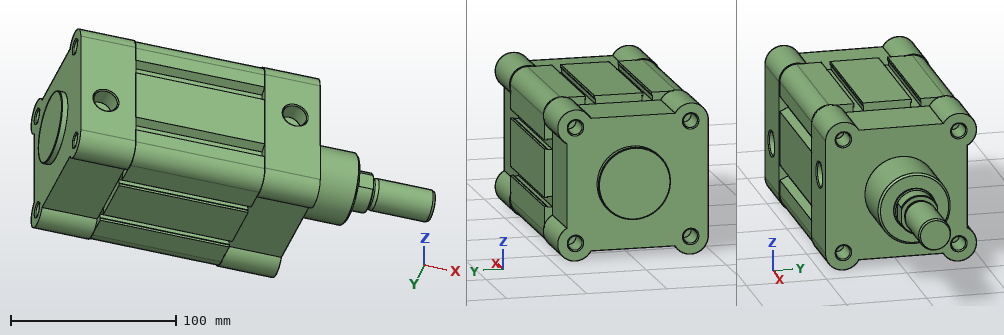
import cadquery as cq


total_length = 243.0
boss_length = 4.0
cap_length = 35.2
barrel_length = 82.4
nose_length = 34.0

rear_cap_start = boss_length
barrel_start = rear_cap_start + cap_length
front_cap_start = barrel_start + barrel_length
front_cap_end = front_cap_start + cap_length
nose_end = front_cap_end + nose_length

cap_width = 94.0
port_face = cap_width / 2
bolt_offset = 36.0
lobe_radius = port_face - bolt_offset
cap_recess_face = 41.3
pilot_diameter = 45.0
pilot_radius = pilot_diameter / 2
boss_chamfer = 0.5
nose_chamfer = 1.2
bolt_hole_diameter = 8.7
bolt_hole_depth = 16.0
bolt_hole_chamfer = 0.7
port_diameter = 15.0
port_depth = 12.2
port_chamfer = 0.7
port_inset = 16.0
port_height = 9.5

barrel_half_width = 46.5
barrel_corner_radius = barrel_half_width - bolt_offset
slot_depth = barrel_half_width - cap_recess_face
slot_mouth_inner = 15.0
slot_mouth_outer = 20.7
slot_undercut = 0.5
slot_lip_thickness = 2.0
groove_center = 21.9
groove_mouth_width = 9.7
groove_floor_width = 4.9
groove_depth = slot_depth

wiper_radius = 13.1
wiper_length = 2.0
wiper_chamfer = 0.7
rod_radius = 12.5
rod_chamfer = 0.5
flat_half_width = 11.2
flat_gap = 2.7
flat_start = nose_end + flat_gap
rod_shoulder = 203.0
neck_radius = 9.2
neck_length = 1.7
neck_end = rod_shoulder + neck_length
thread_radius = 10.0
thread_runout = 2.2
thread_start = neck_end + thread_runout
thread_chamfer_length = 1.7
thread_tip_radius = 9.2


def box_between(x_range, y_range, z_range):
    """Box spanning the given (low, high) ranges."""
    (x0, x1), (y0, y1), (z0, z1) = x_range, y_range, z_range
    return cq.Workplane("XY").box(x1 - x0, y1 - y0, z1 - z0, centered=False).translate((x0, y0, z0))


def rod_along_x(start, length, radius, y=0, z=0):
    """Cylinder parallel to X that starts at X = start."""
    return cq.Workplane("YZ", origin=(start, 0, 0)).center(y, z).circle(radius).extrude(length)


def drill(body, mouth, direction, diameter, depth, chamfer):
    """Cut a flat-bottomed hole with a chamfered mouth."""
    point = cq.Vector(*mouth)
    axis = cq.Vector(*direction)
    radius = diameter / 2
    hole = cq.Solid.makeCylinder(radius, depth, point, axis)
    countersink = cq.Solid.makeCone(radius + chamfer, radius, chamfer, point, axis)
    return body.cut(hole).cut(countersink)


def cap_block(start):
    """Cap without holes: four corner lobes, recessed on every side but the port side."""
    x_range = (start, start + cap_length)
    core = (-cap_recess_face, cap_recess_face)
    block = box_between(x_range, (-bolt_offset, cap_recess_face), core)
    block = block.union(box_between(x_range, (-port_face, 0), (-bolt_offset, bolt_offset)))
    for y in (-bolt_offset, bolt_offset):
        for z in (-bolt_offset, bolt_offset):
            block = block.union(rod_along_x(start, cap_length, lobe_radius, y, z))
    return block


def add_cap_holes(cap, end_face, inward, port_z):
    """Bolt holes in the outer end face and one port in the -Y side."""
    for y in (-bolt_offset, bolt_offset):
        for z in (-bolt_offset, bolt_offset):
            cap = drill(cap, (end_face, y, z), (inward, 0, 0),
                        bolt_hole_diameter, bolt_hole_depth, bolt_hole_chamfer)
    port_mouth = (end_face + inward * port_inset, -port_face, port_z)
    return drill(cap, port_mouth, (0, 1, 0), port_diameter, port_depth, port_chamfer)


def make_rear_cap():
    boss = rod_along_x(0, boss_length, pilot_radius).faces("<X").chamfer(boss_chamfer)
    cap = cap_block(rear_cap_start).union(boss)
    return add_cap_holes(cap, rear_cap_start, 1, -port_height)


def make_front_cap():
    nose = rod_along_x(front_cap_end, nose_length, pilot_radius).faces(">X").chamfer(nose_chamfer)
    cap = cap_block(front_cap_start).union(nose)
    return add_cap_holes(cap, front_cap_end, -1, port_height)


def undercut_slot(side):
    """Slot along the +Z side of the barrel, narrowed by lips at its mouth; side is -1 or 1."""
    top = barrel_half_width
    floor = top - slot_depth
    lip_bottom = top - slot_lip_thickness
    inner_wall = slot_mouth_inner - slot_undercut
    outer_wall = slot_mouth_outer + slot_undercut
    points = [(slot_mouth_inner, top), (slot_mouth_inner, lip_bottom), (inner_wall, lip_bottom),
              (inner_wall, floor), (outer_wall, floor), (outer_wall, lip_bottom),
              (slot_mouth_outer, lip_bottom), (slot_mouth_outer, top)]
    signed = [(side * y, z) for y, z in points]
    return cq.Workplane("YZ", origin=(barrel_start, 0, 0)).polyline(signed).close().extrude(barrel_length)


def tapered_groove(side):
    """Groove with sloping walls along the -Y side of the barrel; side is -1 or 1."""
    mouth, floor = groove_mouth_width / 2, groove_floor_width / 2
    outer_y = -barrel_half_width
    floor_y = outer_y + groove_depth
    center = side * groove_center
    points = [(outer_y, center - mouth), (outer_y, center + mouth),
              (floor_y, center + floor), (floor_y, center - floor)]
    return cq.Workplane("YZ", origin=(barrel_start, 0, 0)).polyline(points).close().extrude(barrel_length)


def make_barrel():
    half = (-barrel_half_width, barrel_half_width)
    barrel = box_between((barrel_start, front_cap_start), half, half)
    barrel = barrel.edges("|X").fillet(barrel_corner_radius)
    for side in (-1, 1):
        barrel = barrel.cut(tapered_groove(side))
        for turn in (0, -90, 180):
            barrel = barrel.cut(undercut_slot(side).rotate((0, 0, 0), (1, 0, 0), turn))
    return barrel


def make_rod():
    wiper_end = nose_end + wiper_length
    profile = [(nose_end, 0), (nose_end, wiper_radius),
               (wiper_end - wiper_chamfer, wiper_radius), (wiper_end, rod_radius),
               (rod_shoulder - rod_chamfer, rod_radius), (rod_shoulder, rod_radius - rod_chamfer),
               (rod_shoulder, neck_radius), (neck_end, neck_radius),
               (thread_start, thread_radius), (total_length - thread_chamfer_length, thread_radius),
               (total_length, thread_tip_radius), (total_length, 0)]
    rod = cq.Workplane("XY").polyline(profile).close().revolve(360, (0, 0, 0), (1, 0, 0))
    across = (-rod_radius, rod_radius)
    for y_range in ((-rod_radius, -flat_half_width), (flat_half_width, rod_radius)):
        rod = rod.cut(box_between((flat_start, rod_shoulder), y_range, across))
    return rod


rear_cap = make_rear_cap()
barrel = make_barrel()
front_cap = make_front_cap()
piston_rod = make_rod()

result = cq.Compound.makeCompound([rear_cap.val(), barrel.val(), front_cap.val(), piston_rod.val()])